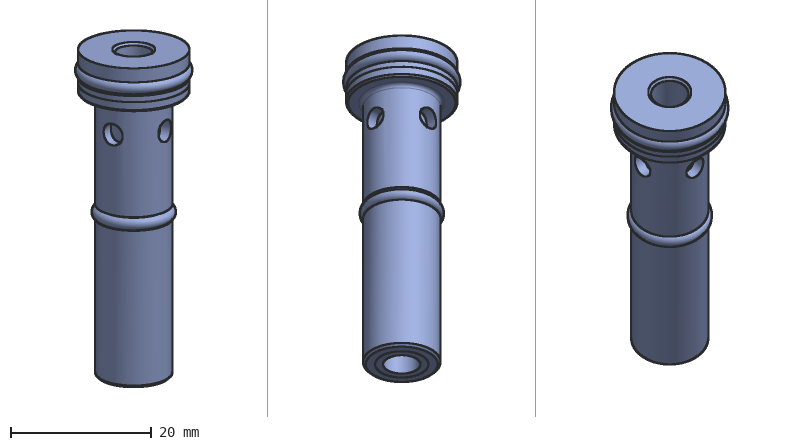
import cadquery as cq

total_height = 49.3

head_radius = 7.95
head_joint_z = 44.15
head_bottom_z = 42.7
head_chamfer = 0.3

bore_radius = 2.65
bore_chamfer = 0.4
tube_radius = 3.8

sleeve_radius = 5.5
neck_fillet = 0.6
foot_chamfer = 0.4

port_radius = 1.65
port_z = 38.05
port_count = 4

ring_section_radius = 0.9
groove_width = 2.05
overall_diameter = 16.7
upper_ring_outer_radius = overall_diameter / 2
upper_groove_z = 46.15
lower_ring_outer_radius = 6.0
lower_groove_z = 24.85
lower_ring_z = lower_groove_z - groove_width / 2 + ring_section_radius


def cylinder(radius, bottom_z, top_z):
    """Solid cylinder on the Z axis between two heights."""
    return cq.Workplane("XY").workplane(offset=bottom_z).circle(radius).extrude(top_z - bottom_z)


def groove_cutter(ring_outer_radius, center_z, surface_radius):
    """Square-sided annulus whose floor touches the inside of the O-ring."""
    floor_radius = ring_outer_radius - 2 * ring_section_radius
    bottom_z = center_z - groove_width / 2
    top_z = center_z + groove_width / 2
    return cylinder(surface_radius, bottom_z, top_z).cut(cylinder(floor_radius, bottom_z, top_z))


def make_core():
    """Head disc with its tube, through bore, bore chamfer and upper O-ring groove."""
    core = cylinder(head_radius, head_joint_z, total_height)
    core = core.union(cylinder(tube_radius, 0, head_joint_z))
    core = core.cut(cylinder(bore_radius, 0, total_height))
    core = core.faces(">Z").edges("%CIRCLE").edges(cq.selectors.RadiusNthSelector(0)).chamfer(bore_chamfer)
    return core.cut(groove_cutter(upper_ring_outer_radius, upper_groove_z, head_radius))


def sleeve_profile():
    """Half section of the sleeve's outer shape, from the axis outward."""
    return (
        cq.Workplane("XZ")
        .moveTo(0, 0)
        .lineTo(sleeve_radius - foot_chamfer, 0)
        .lineTo(sleeve_radius, foot_chamfer)
        .lineTo(sleeve_radius, head_bottom_z - neck_fillet)
        .radiusArc((sleeve_radius + neck_fillet, head_bottom_z), neck_fillet)
        .lineTo(head_radius - head_chamfer, head_bottom_z)
        .lineTo(head_radius, head_bottom_z + head_chamfer)
        .lineTo(head_radius, head_joint_z)
        .lineTo(0, head_joint_z)
        .close()
    )


def make_sleeve():
    """Flanged sleeve with a bore for the tube, radial ports and the lower O-ring groove."""
    sleeve = sleeve_profile().revolve(360, (0, 0, 0), (0, 1, 0))
    sleeve = sleeve.cut(cylinder(tube_radius, 0, head_joint_z))
    sleeve = sleeve.cut(groove_cutter(lower_ring_outer_radius, lower_groove_z, sleeve_radius))
    port = (
        cq.Workplane("YZ", origin=(tube_radius / 2, 0, port_z))
        .circle(port_radius)
        .extrude(sleeve_radius)
    )
    for index in range(port_count):
        sleeve = sleeve.cut(port.rotate((0, 0, 0), (0, 0, 1), index * 360 / port_count))
    return sleeve


def make_ring(outer_radius, center_z):
    """O-ring of round section, lying level around the Z axis."""
    center_radius = outer_radius - ring_section_radius
    return cq.Solid.makeTorus(center_radius, ring_section_radius, cq.Vector(0, 0, center_z))


core = make_core()
sleeve = make_sleeve()
ring_places = [
    (upper_ring_outer_radius, upper_groove_z),
    (lower_ring_outer_radius, lower_ring_z),
]
rings = [make_ring(outer_radius, center_z) for outer_radius, center_z in ring_places]

result = cq.Compound.makeCompound([core.val(), sleeve.val(), *rings])